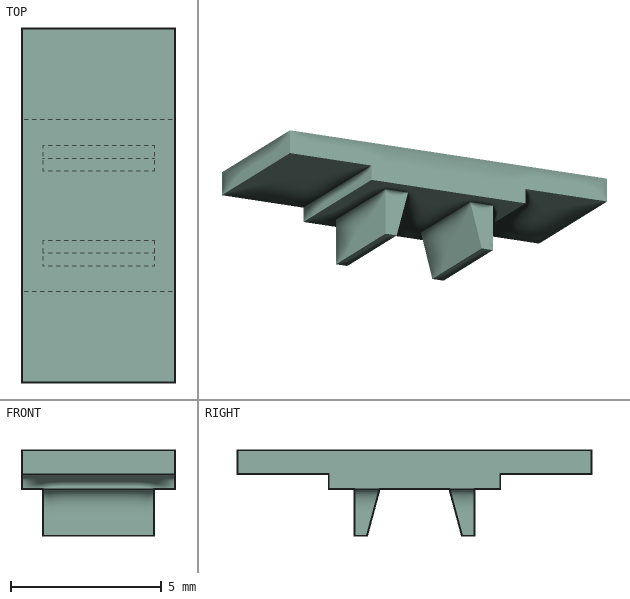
import cadquery as cq

plate_width = 5.1
plate_length = 11.8
plate_thickness = 0.8

pad_length = 5.73
pad_thickness = 0.5

leg_width = 3.7
leg_height = 1.56
leg_span = 4.0
leg_root_thickness = 0.84
leg_tip_thickness = 0.42

pad_bottom = leg_height
plate_bottom = pad_bottom + pad_thickness


def make_block(width, length, thickness, bottom):
    """Box centred on the Z axis, standing on the level `bottom`."""
    block = cq.Workplane("XY").box(width, length, thickness, centered=(True, True, False))
    return block.translate((0, 0, bottom))


def make_leg(side):
    """Leg on the +Y (side = 1) or -Y (side = -1) end: upright outer face, sloping inner face."""
    outer = leg_span / 2
    profile = [
        (side * outer, 0),
        (side * outer, pad_bottom),
        (side * (outer - leg_root_thickness), pad_bottom),
        (side * (outer - leg_tip_thickness), 0),
    ]
    return cq.Workplane("YZ").polyline(profile).close().extrude(leg_width / 2, both=True)


plate = make_block(plate_width, plate_length, plate_thickness, plate_bottom)
pad = make_block(plate_width, pad_length, pad_thickness, pad_bottom)

result = plate.union(pad)
for side in (-1, 1):
    result = result.union(make_leg(side))